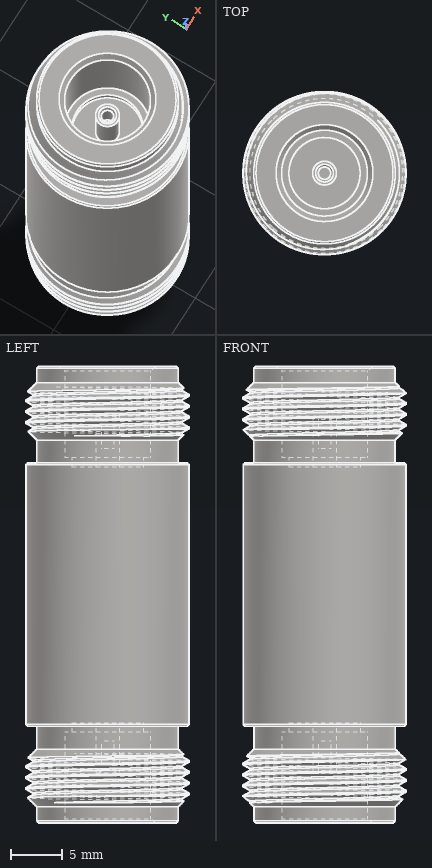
import cadquery as cq
import math


total_length = 44.45
barrel_diameter = 15.85
barrel_radius = barrel_diameter / 2
barrel_length = 25.6
barrel_chamfer = 0.2

neck_radius = 6.9
neck_chamfer = 0.22
nose_length = 1.6
thread_length = 5.6
pitch_count = 5
pitch_span = 5.3
thread_pitch = pitch_span / pitch_count
thread_crest_radius = barrel_radius
thread_root_radius = 7.3
thread_root_width = 0.2
thread_half_angle = 30.0
crest_drop = 3.1
ridge_embedment = 0.05
crest_clearance = 0.22

bore_radius = 4.2
bore_depth = 8.9
bore_mouth_radius = 4.7
bore_mouth_depth = 0.45
inner_bore_radius = 3.45
inner_bore_depth = 9.8

contact_radius = 1.15
contact_tip_depth = 4.9
contact_hole_diameter = 1.2
contact_mouth_diameter = 1.75
contact_mouth_depth = 0.25
contact_hole_depth = 3.1
contact_hole_radius = contact_hole_diameter / 2
contact_mouth_radius = contact_mouth_diameter / 2

end_z = total_length / 2
thread_top_z = end_z - nose_length
thread_bottom_z = thread_top_z - thread_length
contact_tip_z = end_z - contact_tip_depth


def revolve_profile(points):
    """Revolve an outline of (radius, z) points around the Z axis."""
    return cq.Workplane("XZ").polyline(points).close().revolve(360, (0, 0, 0), (0, 1, 0))


def cylinder(radius, bottom_z, top_z):
    return cq.Workplane("XY").workplane(offset=bottom_z).circle(radius).extrude(top_z - bottom_z)


def make_barrel():
    barrel = cylinder(barrel_radius, -barrel_length / 2, barrel_length / 2)
    return barrel.faces("|Z").edges().chamfer(barrel_chamfer)


def thread_envelope(limit_radius):
    """Solid of the given radius with 45 degree cones up from the neck at both ends of the thread."""
    cone_height = limit_radius - neck_radius
    return revolve_profile([
        (0, thread_bottom_z),
        (neck_radius, thread_bottom_z),
        (limit_radius, thread_bottom_z + cone_height),
        (limit_radius, thread_top_z - cone_height),
        (neck_radius, thread_top_z),
        (0, thread_top_z),
    ])


def make_thread_ridge():
    """Right-handed helical ridge of trapezoidal section, longer than the thread at both ends."""
    inner_radius = thread_root_radius - ridge_embedment
    flank_slope = math.tan(math.radians(thread_half_angle))
    root_half = (thread_pitch - thread_root_width) / 2
    inner_half = root_half + ridge_embedment * flank_slope
    crest_half = root_half - (thread_crest_radius - thread_root_radius) * flank_slope
    turns = math.ceil(thread_length / thread_pitch) + 1
    turns_above_crest = 2
    helix_start_z = end_z - crest_drop - (turns - turns_above_crest) * thread_pitch
    helix = cq.Wire.makeHelix(thread_pitch, turns * thread_pitch, inner_radius)
    ridge = (
        cq.Workplane("XZ")
        .polyline([
            (inner_radius, -inner_half),
            (thread_crest_radius, -crest_half),
            (thread_crest_radius, crest_half),
            (inner_radius, inner_half),
        ])
        .close()
        .sweep(cq.Workplane(obj=helix), isFrenet=True)
    )
    return ridge.translate((0, 0, helix_start_z))


def make_threaded_neck():
    neck = cylinder(neck_radius, 0, end_z).faces(">Z").edges().chamfer(neck_chamfer)
    ridge = make_thread_ridge().intersect(thread_envelope(thread_crest_radius + crest_clearance))
    core = neck.union(thread_envelope(thread_root_radius))
    threaded_neck = core.union(ridge, clean=False)
    return threaded_neck.rotate((0, 0, 0), (0, 0, 1), 180)


def make_socket():
    """Stepped bore with a chamfered mouth."""
    return revolve_profile([
        (0, end_z),
        (bore_mouth_radius, end_z),
        (bore_radius, end_z - bore_mouth_depth),
        (bore_radius, end_z - bore_depth),
        (inner_bore_radius, end_z - bore_depth),
        (inner_bore_radius, end_z - inner_bore_depth),
        (0, end_z - inner_bore_depth),
    ])


def make_contact():
    """Centre contact with a countersunk blind hole in its tip."""
    pin = cylinder(contact_radius, 0, contact_tip_z)
    hole = revolve_profile([
        (0, contact_tip_z),
        (contact_mouth_radius, contact_tip_z),
        (contact_hole_radius, contact_tip_z - contact_mouth_depth),
        (contact_hole_radius, contact_tip_z - contact_hole_depth),
        (0, contact_tip_z - contact_hole_depth),
    ])
    return pin.cut(hole)


def at_both_ends(shape):
    """The upper shape and its copy turned half a revolution about Y."""
    return [shape, shape.rotate((0, 0, 0), (0, 1, 0), 180)]


result = make_barrel()
for threaded_neck in at_both_ends(make_threaded_neck()):
    result = result.union(threaded_neck, clean=False)
for socket in at_both_ends(make_socket().cut(make_contact())):
    result = result.cut(socket, clean=False)
result = result.solids()